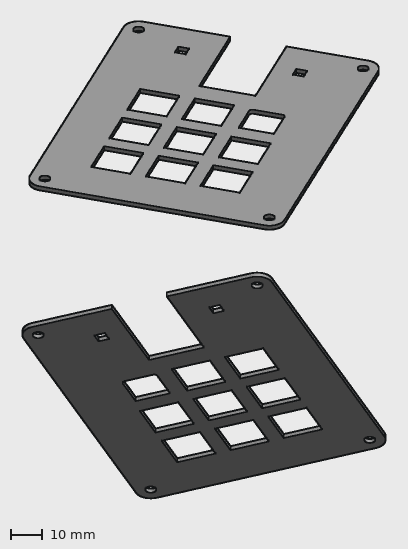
import cadquery as cq

plate_width = 83.9
plate_length = 103.4
plate_thickness = 1.5
corner_radius = 5.0

screw_hole_diameter = 3.4
screw_spacing_x = plate_width - 2 * corner_radius
screw_spacing_y = plate_length - 2 * corner_radius

notch_width = 18.5
notch_depth = 30.9
notch_center_x = 0.8

key_count = 3
key_pitch = 18.0
key_opening = 12.9
key_grid_x = -0.9
key_grid_y = -11.2

knob_opening = 11.6
knob_corner_radius = 1.0
knob_shift_x = 0.2
knob_x = key_grid_x + key_pitch - knob_shift_x
knob_y = key_grid_y + key_pitch

window_size = 3.5
window_centers = [(-20.2, 39.2), (19.0, 38.2)]


def square_cutter(size, centers):
    """Square prisms as tall as the plate, for cutting through it."""
    return cq.Workplane("XY").pushPoints(centers).rect(size, size).extrude(plate_thickness)


def make_plate():
    return (
        cq.Workplane("XY")
        .rect(plate_width, plate_length)
        .extrude(plate_thickness)
        .edges("|Z")
        .fillet(corner_radius)
    )


def screw_hole_cutter():
    return (
        cq.Workplane("XY")
        .rect(screw_spacing_x, screw_spacing_y, forConstruction=True)
        .vertices()
        .circle(screw_hole_diameter / 2)
        .extrude(plate_thickness)
    )


def notch_cutter():
    return (
        cq.Workplane("XY")
        .center(notch_center_x, plate_length / 2 - notch_depth / 2)
        .rect(notch_width, notch_depth)
        .extrude(plate_thickness)
    )


def key_cutter():
    """Every place of the key grid except the +X, +Y corner."""
    middle = (key_count - 1) / 2
    last = key_count - 1
    centers = [
        (key_grid_x + (column - middle) * key_pitch, key_grid_y + (row - middle) * key_pitch)
        for column in range(key_count)
        for row in range(key_count)
        if (column, row) != (last, last)
    ]
    return square_cutter(key_opening, centers)


def knob_cutter():
    """Square opening with its two +Y corners rounded."""
    return (
        square_cutter(knob_opening, [(knob_x, knob_y)])
        .faces(">Y")
        .edges("|Z")
        .fillet(knob_corner_radius)
    )


result = (
    make_plate()
    .cut(screw_hole_cutter())
    .cut(notch_cutter())
    .cut(key_cutter())
    .cut(knob_cutter())
    .cut(square_cutter(window_size, window_centers))
)